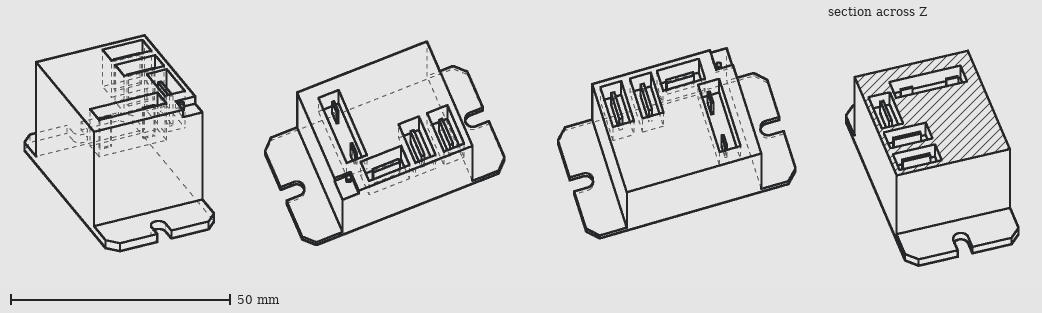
import cadquery as cq

length = 50.0
width = 27.2
height = 27.9

flange_thickness = 2.2
corner_chamfer = 2.5
slot_width = 3.5
slot_depth = 5.0

body_length = 32.1

pocket_width = 5.0
pocket_length = 10.0
pocket_margin = 1.25
pocket_depth = 10.0
blade_recess = 1.9
blade_thickness = 0.8
blade_length = 6.5
blade_shift = 0.25

left_pocket_x = -12.0
middle_pocket_x = -4.95
cross_pocket_x = 4.0
lengthwise_pocket_y = width / 2 - pocket_margin - pocket_length / 2
lengthwise_blade_y = lengthwise_pocket_y + blade_shift
cross_pocket_y = width / 2 - pocket_margin - pocket_width / 2
cross_blade_x = cross_pocket_x - blade_shift

coil_pocket_x = 9.55
coil_pocket_y = -2.05
coil_pocket_length = 16.9
coil_blade_x = 9.05
coil_blade_ys = (3.3, -7.6)
coil_blade_thickness = 0.5
coil_blade_length = 2.8

notch_length = 4.0
notch_width = 4.9
notch_depth = 2.0
pin_diameter = 1.15
pin_height = 1.75
pin_x = 12.95
pin_y = 9.7


def top_down_box(x_size, y_size, x, y, top, bottom):
    """Block centred on (x, y) that reaches from the bottom level up to the top level."""
    return cq.Workplane("XY", origin=(x, y, bottom)).rect(x_size, y_size).extrude(top - bottom)


def make_flange():
    plate = cq.Workplane("XY").rect(length, width).extrude(flange_thickness)
    plate = plate.edges("|Z").chamfer(corner_chamfer)
    slots = (
        cq.Workplane("XY")
        .pushPoints([(-length / 2, 0), (length / 2, 0)])
        .slot2D(2 * slot_depth, slot_width)
        .extrude(flange_thickness)
    )
    return plate.cut(slots)


def make_body():
    return cq.Workplane("XY").rect(body_length, width).extrude(height)


def cut_pocket(part, x_size, y_size, x, y):
    return part.cut(top_down_box(x_size, y_size, x, y, height, height - pocket_depth))


def add_blade(part, x_size, y_size, x, y):
    return part.union(top_down_box(x_size, y_size, x, y, height - blade_recess, height - pocket_depth))


def cut_notch(part):
    floor = height - notch_depth
    x = body_length / 2 - notch_length / 2
    y = width / 2 - notch_width / 2
    part = part.cut(top_down_box(notch_length, notch_width, x, y, height, floor))
    pin = cq.Workplane("XY", origin=(pin_x, pin_y, floor)).circle(pin_diameter / 2).extrude(pin_height)
    return part.union(pin)


relay = make_flange().union(make_body())

for pocket_x in (left_pocket_x, middle_pocket_x):
    relay = cut_pocket(relay, pocket_width, pocket_length, pocket_x, lengthwise_pocket_y)
    relay = add_blade(relay, blade_thickness, blade_length, pocket_x, lengthwise_blade_y)

relay = cut_pocket(relay, pocket_length, pocket_width, cross_pocket_x, cross_pocket_y)
relay = add_blade(relay, blade_length, blade_thickness, cross_blade_x, cross_pocket_y)

relay = cut_pocket(relay, pocket_width, coil_pocket_length, coil_pocket_x, coil_pocket_y)
for blade_y in coil_blade_ys:
    relay = add_blade(relay, coil_blade_thickness, coil_blade_length, coil_blade_x, blade_y)

result = cut_notch(relay)